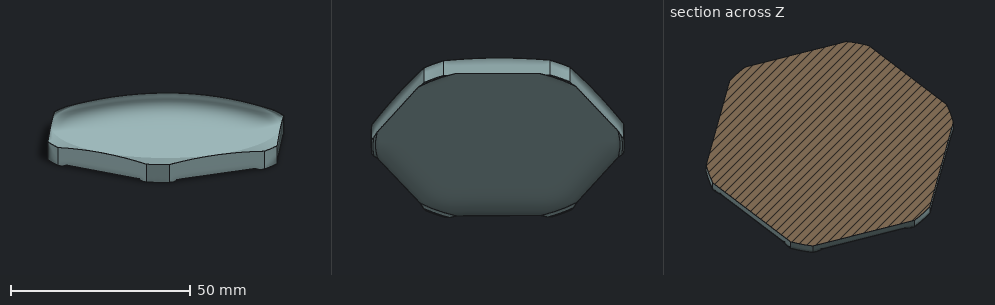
import cadquery as cq
import math

corner_diameter = 70.5
across_flats = 64.0
height = 6.1
top_chamfer_angle = 15.0
recess_depth = 0.55
recess_mouth_radius = 34.75
recess_floor_radius = 34.05

corner_radius = corner_diameter / 2
top_face_radius = across_flats / 2
chamfer_drop = (corner_radius - top_face_radius) * math.tan(math.radians(top_chamfer_angle))
point_to_point = across_flats / math.cos(math.radians(30))


def turned_blank():
    """Disc with a conical top edge and a shallow recess that leaves a thin bottom rim."""
    profile = [
        (0, recess_depth),
        (recess_floor_radius, recess_depth),
        (recess_mouth_radius, 0),
        (corner_radius, 0),
        (corner_radius, height - chamfer_drop),
        (top_face_radius, height),
        (0, height),
    ]
    return cq.Workplane("XZ").polyline(profile).close().revolve(360, (0, 0, 0), (0, 1, 0))


def hexagon_prism():
    """Hexagon with corners on the X axis and two flats parallel to it."""
    return cq.Workplane("XY").polygon(6, point_to_point).extrude(height)


result = turned_blank().intersect(hexagon_prism())